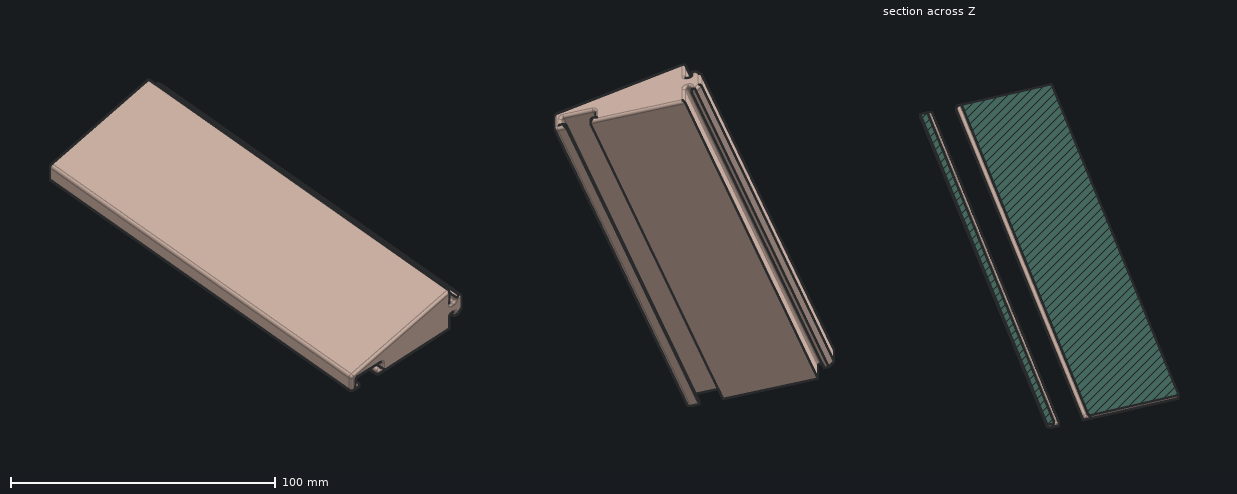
import cadquery as cq
import math

length = 165.0
depth = 58.5
height = 19.8
tongue_depth = 6.5
front_height = 8.2
nose_radius = 1.5
ridge_radius = 0.7
toe_radius = 1.5
end_radius = 1.2

tongue_center_z = height / 2
hook_half_height = 5.1
neck_half_height = 2.5
hook_chamfer = 2.1
groove_width = 2.5
groove_radius = 1.0

slot_front = 3.0
slot_width = 13.4
slot_top = 5.6
lip_height = 2.5
lip_reach = 2.0
slot_radius = 0.8
lip_radius = 1.3

wall_y = depth - tongue_depth

ridge_y = wall_y - ridge_radius
ridge_z = height - ridge_radius
slope_angle = math.atan2(ridge_z - front_height, ridge_y) + math.asin(
    ridge_radius / math.hypot(ridge_y, ridge_z - front_height)
)
corner_z = front_height + wall_y * math.tan(slope_angle)


def extrude_profile(profile):
    """Extrude a YZ profile along the full length."""
    return profile.close().extrude(length)


def make_wedge():
    profile = cq.Workplane("YZ").polyline(
        [(0, 0), (wall_y, 0), (wall_y, corner_z), (0, front_height)]
    )
    wedge = extrude_profile(profile)
    corners = [
        (0, 0, toe_radius),
        (0, front_height, nose_radius),
        (wall_y, corner_z, ridge_radius),
    ]
    for y, z, radius in corners:
        corner = cq.selectors.NearestToPointSelector((length / 2, y, z))
        wedge = wedge.edges(corner).fillet(radius)
    return wedge


def make_tongue():
    """Neck and hook, with a round-cornered groove above and below the neck."""
    top = tongue_center_z + hook_half_height
    bottom = tongue_center_z - hook_half_height
    profile = cq.Workplane("YZ").polyline(
        [
            (wall_y, bottom),
            (depth - hook_chamfer, bottom),
            (depth, bottom + hook_chamfer),
            (depth, top - hook_chamfer),
            (depth - hook_chamfer, top),
            (wall_y, top),
        ]
    )
    tongue = extrude_profile(profile)
    groove_height = hook_half_height - neck_half_height
    for side in (-1, 1):
        groove_z = tongue_center_z + side * (neck_half_height + groove_height / 2)
        groove = cq.Workplane("XY").box(length, groove_width, groove_height).translate(
            (length / 2, wall_y + groove_width / 2, groove_z)
        )
        floor_edges = "|X and <Z" if side > 0 else "|X and >Z"
        tongue = tongue.cut(groove.edges(floor_edges).fillet(groove_radius))
    return tongue


def make_slot():
    """Undercut slot with rounded upper corners and rounded retaining lips."""
    back = slot_front + slot_width
    chamber = (
        cq.Workplane("YZ")
        .moveTo(slot_front, lip_height)
        .lineTo(back, lip_height)
        .lineTo(back, slot_top)
        .lineTo(slot_front, slot_top)
    )
    mouth = (
        cq.Workplane("YZ")
        .moveTo(slot_front + lip_reach, 0)
        .lineTo(back - lip_reach, 0)
        .lineTo(back - lip_reach, slot_top)
        .lineTo(slot_front + lip_reach, slot_top)
    )
    chamber = extrude_profile(chamber).edges("|X and >Z").fillet(slot_radius)
    slot = chamber.union(extrude_profile(mouth))
    lip_edges = cq.selectors.BoxSelector(
        (0, slot_front + lip_reach / 2, lip_height / 2),
        (length, back - lip_reach / 2, (lip_height + slot_top) / 2),
    )
    return slot.edges("|X").edges(lip_edges).fillet(lip_radius)


part = make_wedge().union(make_tongue()).cut(make_slot())

result = part.faces(">X").edges().fillet(end_radius)